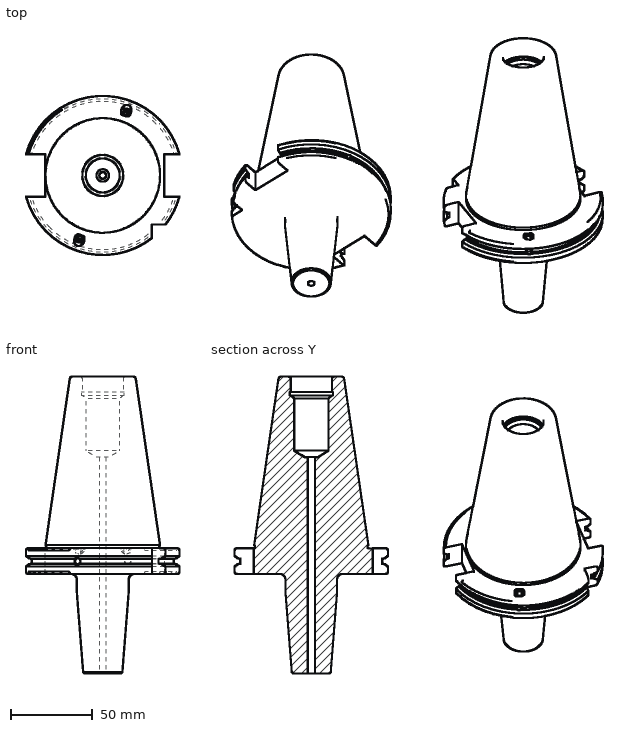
import cadquery as cq
import math


GAUGE_RADIUS = 34.9
TAPER_SLOPE = 7 / 48
SHANK_LENGTH = 101.8
SHANK_RIM_FILLET = 2.0
TAPER_OVERRUN = 1.5
NECK_RELIEF_DEPTH = 0.5

FLANGE_TOP = -3.3
FLANGE_THICKNESS = 15.8
FLANGE_RADIUS = 48.7
FLANGE_RIM_FILLET = 1.5
GROOVE_DEPTH = 3.3
GROOVE_SHOULDER_DEPTH = 1.8
GROOVE_MOUTH_HALF_WIDTH = 3.3
GROOVE_SHOULDER_HALF_WIDTH = 1.8
GROOVE_ROOT_HALF_WIDTH = 1.5
GROOVE_DROP = 8.0

NOSE_RADIUS = 16.0
NOSE_TIP_RADIUS = 12.0
NOSE_LENGTH = 60.9
NOSE_STRAIGHT_LENGTH = 10.4
NOSE_ROOT_FILLET = 3.3
NOSE_TIP_CHAMFER = 0.9

BORE_RADIUS = 12.5
BORE_MOUTH_FILLET = 1.6
BORE_DEPTH = 11.6
RELIEF_RADIUS = 13.0
RELIEF_HEIGHT = 2.0
THREAD_RADIUS = 10.4
THREAD_SEAT_DEPTH = 13.5
THREAD_DEPTH = 45.5
DRILL_HALF_ANGLE = 59.0
DRILL_FLAT_RADIUS = 3.8
COOLANT_RADIUS = 2.0

SLOT_WIDTH = 25.8
SLOT_FLOOR_LEFT = 35.3
SLOT_FLOOR_RIGHT = 37.6
NOTCH_CORNER = 30.0

PORT_ANGLE = 70.0
PORT_RING_RADIUS = 42.0
PORT_RADIUS = 3.0
PORT_TILT = 35.0
PORT_DEPTH = 1.8
SOCKET_ACROSS_CORNERS = 3.5
SOCKET_DEPTH = 1.5
GROOVE_PORT_RADIUS = 2.0
GROOVE_PORT_DEPTH = 1.5

FLANGE_BOTTOM = FLANGE_TOP - FLANGE_THICKNESS
GROOVE_CENTRE = FLANGE_TOP - GROOVE_DROP
GROOVE_ROOT_RADIUS = FLANGE_RADIUS - GROOVE_DEPTH
NOSE_TIP = FLANGE_BOTTOM - NOSE_LENGTH

ARC_INSET = 1 - math.sqrt(0.5)


def taper_radius(z):
    """Shank radius at height z."""
    return GAUGE_RADIUS - TAPER_SLOPE * z


def turned_body():
    """Solid shank, flange and nose from one revolved half section."""
    taper_end_radius = taper_radius(-TAPER_OVERRUN)
    rim_flat_radius = FLANGE_RADIUS - FLANGE_RIM_FILLET
    rim_inset = FLANGE_RIM_FILLET * ARC_INSET
    shoulder_radius = FLANGE_RADIUS - GROOVE_SHOULDER_DEPTH
    nose_root_inset = NOSE_ROOT_FILLET * ARC_INSET
    nose_taper_start = FLANGE_BOTTOM - NOSE_STRAIGHT_LENGTH
    section = (
        cq.Workplane("XZ")
        .moveTo(0, SHANK_LENGTH)
        .lineTo(taper_radius(SHANK_LENGTH), SHANK_LENGTH)
        .lineTo(taper_end_radius, -TAPER_OVERRUN)
        .threePointArc(
            (taper_end_radius - NECK_RELIEF_DEPTH, (FLANGE_TOP - TAPER_OVERRUN) / 2),
            (taper_end_radius, FLANGE_TOP),
        )
        .lineTo(rim_flat_radius, FLANGE_TOP)
        .threePointArc(
            (FLANGE_RADIUS - rim_inset, FLANGE_TOP - rim_inset),
            (FLANGE_RADIUS, FLANGE_TOP - FLANGE_RIM_FILLET),
        )
        .lineTo(FLANGE_RADIUS, GROOVE_CENTRE + GROOVE_MOUTH_HALF_WIDTH)
        .lineTo(shoulder_radius, GROOVE_CENTRE + GROOVE_SHOULDER_HALF_WIDTH)
        .lineTo(GROOVE_ROOT_RADIUS, GROOVE_CENTRE + GROOVE_ROOT_HALF_WIDTH)
        .lineTo(GROOVE_ROOT_RADIUS, GROOVE_CENTRE - GROOVE_ROOT_HALF_WIDTH)
        .lineTo(shoulder_radius, GROOVE_CENTRE - GROOVE_SHOULDER_HALF_WIDTH)
        .lineTo(FLANGE_RADIUS, GROOVE_CENTRE - GROOVE_MOUTH_HALF_WIDTH)
        .lineTo(FLANGE_RADIUS, FLANGE_BOTTOM + FLANGE_RIM_FILLET)
        .threePointArc(
            (FLANGE_RADIUS - rim_inset, FLANGE_BOTTOM + rim_inset),
            (rim_flat_radius, FLANGE_BOTTOM),
        )
        .lineTo(NOSE_RADIUS + NOSE_ROOT_FILLET, FLANGE_BOTTOM)
        .threePointArc(
            (NOSE_RADIUS + nose_root_inset, FLANGE_BOTTOM - nose_root_inset),
            (NOSE_RADIUS, FLANGE_BOTTOM - NOSE_ROOT_FILLET),
        )
        .lineTo(NOSE_RADIUS, nose_taper_start)
        .lineTo(NOSE_TIP_RADIUS, NOSE_TIP)
        .lineTo(0, NOSE_TIP)
        .close()
    )
    body = section.revolve(360, (0, 0, 0), (0, 1, 0))
    body = body.faces(">Z").edges().fillet(SHANK_RIM_FILLET)
    return body.faces("<Z").edges().chamfer(NOSE_TIP_CHAMFER)


def shank_bore():
    """Stepped bore: rounded mouth, pilot, relief, thread hole, drill point and coolant hole."""
    drill_point_height = (THREAD_RADIUS - DRILL_FLAT_RADIUS) / math.tan(math.radians(DRILL_HALF_ANGLE))
    mouth_inset = BORE_MOUTH_FILLET * ARC_INSET
    relief_top = SHANK_LENGTH - BORE_DEPTH + RELIEF_HEIGHT
    thread_bottom = SHANK_LENGTH - THREAD_DEPTH
    drill_flat = thread_bottom - drill_point_height
    section = (
        cq.Workplane("XZ")
        .moveTo(0, SHANK_LENGTH)
        .lineTo(BORE_RADIUS + BORE_MOUTH_FILLET, SHANK_LENGTH)
        .threePointArc(
            (BORE_RADIUS + mouth_inset, SHANK_LENGTH - mouth_inset),
            (BORE_RADIUS, SHANK_LENGTH - BORE_MOUTH_FILLET),
        )
        .lineTo(BORE_RADIUS, relief_top)
        .lineTo(RELIEF_RADIUS, relief_top)
        .lineTo(RELIEF_RADIUS, SHANK_LENGTH - BORE_DEPTH)
        .lineTo(BORE_RADIUS, SHANK_LENGTH - BORE_DEPTH)
        .lineTo(THREAD_RADIUS, SHANK_LENGTH - THREAD_SEAT_DEPTH)
        .lineTo(THREAD_RADIUS, thread_bottom)
        .lineTo(DRILL_FLAT_RADIUS, drill_flat)
        .lineTo(COOLANT_RADIUS, drill_flat)
        .lineTo(COOLANT_RADIUS, NOSE_TIP)
        .lineTo(0, NOSE_TIP)
        .close()
    )
    return section.revolve(360, (0, 0, 0), (0, 1, 0))


def flange_block(x_start, x_end, y_start, y_end):
    """Rectangular cutter through the full flange thickness."""
    return (
        cq.Workplane("XY", origin=(0, 0, FLANGE_BOTTOM))
        .moveTo(x_start, y_start)
        .lineTo(x_end, y_start)
        .lineTo(x_end, y_end)
        .lineTo(x_start, y_end)
        .close()
        .extrude(FLANGE_THICKNESS)
    )


def top_port():
    """Port leaning towards the axis as it goes down, its plug floor holding a hex socket."""
    tilt = math.radians(PORT_TILT)
    plane = cq.Plane(
        origin=(PORT_RING_RADIUS, 0, FLANGE_TOP),
        xDir=(0, 1, 0),
        normal=(math.sin(tilt), 0, math.cos(tilt)),
    )
    overshoot = 2 * PORT_RADIUS
    hole = (
        cq.Workplane(plane)
        .workplane(offset=-PORT_DEPTH)
        .circle(PORT_RADIUS)
        .extrude(PORT_DEPTH + overshoot)
    )
    socket = (
        cq.Workplane(plane)
        .workplane(offset=-PORT_DEPTH - SOCKET_DEPTH)
        .polygon(6, SOCKET_ACROSS_CORNERS)
        .extrude(SOCKET_DEPTH)
    )
    return hole.union(socket)


def groove_port():
    """Shallow radial hole in the groove root, below the top port."""
    floor_radius = GROOVE_ROOT_RADIUS - GROOVE_PORT_DEPTH
    return (
        cq.Workplane("YZ", origin=(floor_radius, 0, GROOVE_CENTRE))
        .circle(GROOVE_PORT_RADIUS)
        .extrude(FLANGE_RADIUS - floor_radius)
    )


result = turned_body().cut(shank_bore())

half_slot = SLOT_WIDTH / 2
result = result.cut(flange_block(-FLANGE_RADIUS, -SLOT_FLOOR_LEFT, -half_slot, half_slot))
result = result.cut(flange_block(SLOT_FLOOR_RIGHT, FLANGE_RADIUS, -half_slot, half_slot))
result = result.cut(flange_block(NOTCH_CORNER, FLANGE_RADIUS, -FLANGE_RADIUS, -NOTCH_CORNER))

for angle in (PORT_ANGLE, PORT_ANGLE + 180):
    for port in (top_port(), groove_port()):
        result = result.cut(port.rotate((0, 0, 0), (0, 0, 1), angle))